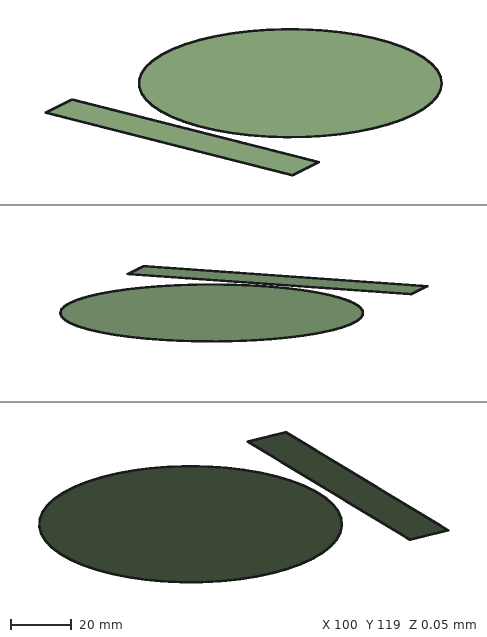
import cadquery as cq

foil_thickness = 0.05
disc_diameter = 100.0
strip_length = disc_diameter
strip_width = 15.0
gap = 4.0

strip_center_y = -(disc_diameter / 2 + gap + strip_width / 2)


def make_disc():
    """Flat round foil centred on the origin."""
    return cq.Workplane("XY").circle(disc_diameter / 2).extrude(foil_thickness)


def make_strip():
    """Flat rectangular foil lying beside the disc, on its -Y side."""
    return (
        cq.Workplane("XY")
        .center(0, strip_center_y)
        .rect(strip_length, strip_width)
        .extrude(foil_thickness)
    )


disc = make_disc()
strip = make_strip()

result = cq.Compound.makeCompound([disc.val(), strip.val()])